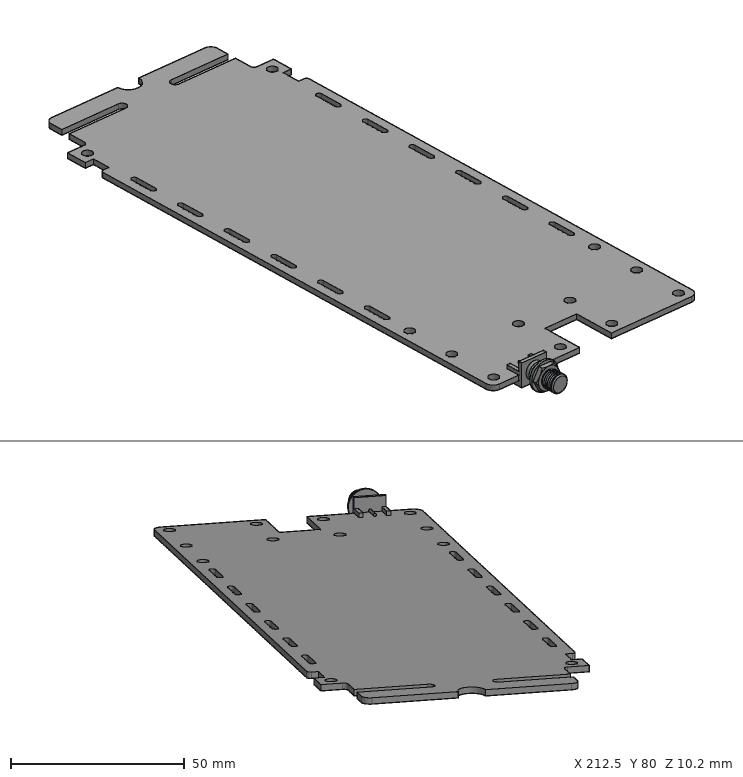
import cadquery as cq
import math

total_length = 212.5
board_length = 200.0
board_width = 80.0
board_thickness = 2.0
board_corner_radius = 2.8

tongue_width = 64.5
tongue_length = 18.0
tongue_corner_radius = 2.5
tongue_root_radius = 1.3
selection_margin = 0.2
finger_notch_radius = 4.0

strap_slot_width = 3.2
strap_slot_x = 8.7
strap_slot_inner_y = 8.7

edge_notch_start = 25.7
edge_notch_end = 32.3
edge_notch_depth = 3.2
edge_notch_radius = 1.0

cutout_depth = 14.9
cutout_width = 12.3

hole_diameter = 3.5
row_y = 36.0
inner_hole_y = 10.0
ear_hole_x = 22.0
first_hole_x = 160.0
last_hole_x = 195.9
hole_columns = 3
short_slot_count = 6
short_slot_length = 10.0
short_slot_width = 2.0
first_short_slot_x = 46.0
short_slot_pitch = 20.0

pin_diameter = 0.8
axis_y = -25.0
axis_z = board_thickness + pin_diameter / 2

flange_thickness = 1.3
flange_width = 9.5
flange_height = 8.3
leg_length = 5.0
leg_width = 1.3
upper_leg_top = 0.8

thread_diameter = 6.2
thread_pitch = 0.7
thread_depth = 0.5
neck_length = 1.3
tip_chamfer = 0.5

washer_offset = 3.8
washer_thickness = 0.8
washer_diameter = 10.2
nut_thickness = 1.7
nut_across_flats = 8.0
nut_chamfer_angle = 30

flange_front = board_length + flange_thickness
washer_start = flange_front + washer_offset
nut_start = washer_start + washer_thickness
nut_end = nut_start + nut_thickness


def block(x_range, y_range, z_range):
    """Box between two limits along each axis."""
    sizes = [high - low for low, high in (x_range, y_range, z_range)]
    corner = (x_range[0], y_range[0], z_range[0])
    return cq.Workplane("XY").box(*sizes, centered=False).translate(corner)


def board_outline():
    """Board blank with the tongue, ears and right corners, all rounded."""
    main = block((tongue_length, board_length), (-board_width / 2, board_width / 2), (0, board_thickness))
    main = main.edges("|Z and >X").fillet(board_corner_radius)
    tongue = block((0, tongue_length), (-tongue_width / 2, tongue_width / 2), (0, board_thickness))
    tongue = tongue.edges("|Z and <X").fillet(tongue_corner_radius)
    root_edges = cq.selectors.BoxSelector(
        (tongue_length - selection_margin, -tongue_width / 2 - selection_margin, -selection_margin),
        (
            tongue_length + selection_margin,
            tongue_width / 2 + selection_margin,
            board_thickness + selection_margin,
        ),
    )
    return main.union(tongue).edges("|Z").edges(root_edges).fillet(tongue_root_radius)


def cut_edge_notches(board):
    """Notch in both long edges; its right-hand mouth corner is rounded."""
    half_width = board_width / 2
    floor_y = half_width - edge_notch_depth
    notch = (
        cq.Workplane("XY")
        .moveTo(edge_notch_start, half_width)
        .lineTo(edge_notch_start, floor_y)
        .lineTo(edge_notch_end, floor_y)
        .lineTo(edge_notch_end, half_width - edge_notch_radius)
        .radiusArc((edge_notch_end + edge_notch_radius, half_width), edge_notch_radius)
        .close()
        .extrude(board_thickness)
    )
    return board.cut(notch).cut(notch.mirror("XZ"))


def cut_strap_slots(board):
    """Round-ended slots open at the sides of the tongue."""
    slot_length = tongue_width - 2 * strap_slot_inner_y
    centres = [(strap_slot_x, side * tongue_width / 2) for side in (-1, 1)]
    slots = (
        cq.Workplane("XY")
        .pushPoints(centres)
        .slot2D(slot_length, strap_slot_width, 90)
        .extrude(board_thickness)
    )
    return board.cut(slots)


def cut_end_openings(board):
    """Half-round finger notch at the left end and rectangular cutout at the right end."""
    finger_notch = cq.Workplane("XY").circle(finger_notch_radius).extrude(board_thickness)
    cutout = block(
        (board_length - cutout_depth, board_length),
        (-cutout_width / 2, cutout_width / 2),
        (0, board_thickness),
    )
    return board.cut(finger_notch).cut(cutout)


def cut_holes(board):
    """Round holes in the ears, along the long edges and beside the cutout."""
    hole_pitch = (last_hole_x - first_hole_x) / (hole_columns - 1)
    column_x = [first_hole_x + i * hole_pitch for i in range(hole_columns)]
    centres = []
    for side in (-1, 1):
        centres += [(x, side * row_y) for x in [ear_hole_x] + column_x]
        centres += [(x, side * inner_hole_y) for x in column_x[1:]]
    holes = cq.Workplane("XY").pushPoints(centres).circle(hole_diameter / 2).extrude(board_thickness)
    return board.cut(holes)


def cut_short_slots(board):
    """Row of short round-ended slots along each long edge."""
    centres = [
        (first_short_slot_x + i * short_slot_pitch, side * row_y)
        for i in range(short_slot_count)
        for side in (-1, 1)
    ]
    slots = (
        cq.Workplane("XY")
        .pushPoints(centres)
        .slot2D(short_slot_length, short_slot_width)
        .extrude(board_thickness)
    )
    return board.cut(slots)


def make_board():
    board = board_outline()
    board = cut_edge_notches(board)
    board = cut_strap_slots(board)
    board = cut_end_openings(board)
    board = cut_holes(board)
    return cut_short_slots(board)


def rod(start, end, diameter):
    """Cylinder on the connector axis between two x positions."""
    plane = cq.Workplane("YZ", origin=(start, axis_y, axis_z))
    return plane.circle(diameter / 2).extrude(end - start)


def make_legs():
    """Four rectangular legs that grip the board from above and below."""
    x_range = (board_length - leg_length, board_length)
    legs = []
    for side in (-1, 1):
        outer_y = axis_y + side * flange_width / 2
        inner_y = outer_y - side * leg_width
        y_range = (min(outer_y, inner_y), max(outer_y, inner_y))
        legs.append(block(x_range, y_range, (board_thickness, axis_z + upper_leg_top)))
        legs.append(block(x_range, y_range, (axis_z - flange_height / 2, 0)))
    return legs


def make_threaded_barrel():
    """Barrel with a smooth neck, a chamfered tip and ring-shaped V grooves standing for the thread."""
    crest = thread_diameter / 2
    root = crest - thread_depth
    thread_start = flange_front + neck_length
    groove_count = math.floor((total_length - tip_chamfer - thread_start) / thread_pitch)
    profile = cq.Workplane("XY").moveTo(flange_front, 0).lineTo(flange_front, crest)
    profile = profile.lineTo(thread_start, crest)
    for i in range(groove_count):
        groove_x = thread_start + i * thread_pitch
        profile = profile.lineTo(groove_x + thread_pitch / 2, root).lineTo(groove_x + thread_pitch, crest)
    profile = profile.lineTo(total_length - tip_chamfer, crest)
    profile = profile.lineTo(total_length, crest - tip_chamfer).lineTo(total_length, 0).close()
    return profile.revolve(360, (0, 0, 0), (1, 0, 0)).translate((0, axis_y, axis_z))


def make_nut():
    """Hexagonal nut whose outer corners are bevelled by a cone."""
    across_corners = nut_across_flats / math.cos(math.pi / 6)
    plane = cq.Workplane("YZ", origin=(nut_start, axis_y, axis_z))
    hexagon = plane.polygon(6, across_corners).extrude(nut_thickness)
    bevel_depth = (across_corners - nut_across_flats) / 2
    bevel_height = bevel_depth * math.tan(math.radians(nut_chamfer_angle))
    envelope = rod(nut_start, nut_end, across_corners).faces(">X").chamfer(bevel_height, bevel_depth)
    return hexagon.intersect(envelope)


def make_connector():
    connector = block(
        (board_length, flange_front),
        (axis_y - flange_width / 2, axis_y + flange_width / 2),
        (axis_z - flange_height / 2, axis_z + flange_height / 2),
    )
    parts = make_legs()
    parts.append(rod(board_length - leg_length, board_length, pin_diameter))
    parts.append(make_threaded_barrel())
    parts.append(rod(washer_start, nut_start, washer_diameter))
    parts.append(make_nut())
    for part in parts:
        connector = connector.union(part)
    return connector


board = make_board()
connector = make_connector()

result = cq.Compound.makeCompound([board.solids().val(), connector.solids().val()])